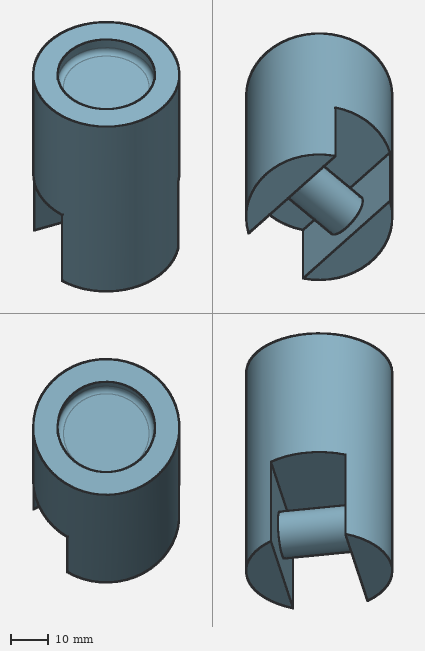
import cadquery as cq

INCH = 25.4

body_diameter = 1.55 * INCH
body_height = 2.5 * INCH

slot_width = 0.8 * INCH
slot_height = 1.0 * INCH

pin_diameter = 0.5 * INCH
pin_height = slot_height / 2
pin_embed = 1.0

recess_diameter = (1 + 1 / 32) * INCH
recess_depth = 3 / 16 * INCH
recess_fillet = 1 / 16 * INCH


def make_body():
    """Plain upright cylinder standing on Z = 0."""
    return cq.Workplane("XY").circle(body_diameter / 2).extrude(body_height)


def make_slot():
    """Block that opens the lower end into two fork arms."""
    return cq.Workplane("XY").box(
        slot_width, body_diameter, slot_height, centered=(True, True, False)
    )


def make_pin():
    """Cross pin joining the two fork arms."""
    length = slot_width + 2 * pin_embed
    return (
        cq.Workplane("YZ")
        .center(0, pin_height)
        .circle(pin_diameter / 2)
        .extrude(length / 2, both=True)
    )


def make_recess():
    """Shallow round pocket with a filleted floor edge."""
    return (
        cq.Workplane("XY")
        .workplane(offset=body_height - recess_depth)
        .circle(recess_diameter / 2)
        .extrude(recess_depth)
        .faces("<Z")
        .edges()
        .fillet(recess_fillet)
    )


result = make_body().cut(make_slot()).union(make_pin()).cut(make_recess())